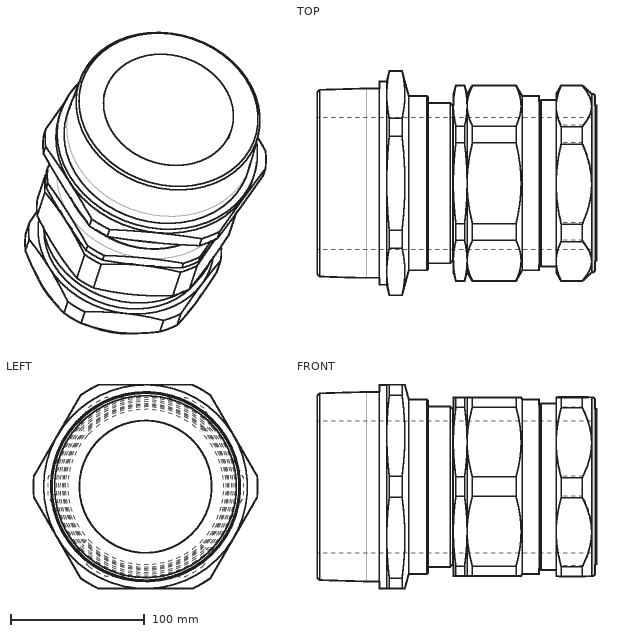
import cadquery as cq


overall_length = 209.0
bore_radius = 49.3

thread_radius = 70.9
taper_small_radius = 69.8
entry_chamfer = 1.9
taper_end_x = 36.5
flange_x = 46.6
flange_radius = 76.1

entry_nut_x = 52.0
entry_nut_end_x = 68.5
entry_nut_flats = 152.5
entry_nut_corner_radius = 83.8
entry_nut_front_chamfer = 1.9
entry_nut_back_chamfer = 5.0

shoulder_radius = 65.2
shoulder_end_x = 83.2
shoulder_chamfer = 1.3
neck_radius = 60.0
neck_end_x = 101.2
neck_chamfer = 1.9
collar_end_x = 165.8
groove_radius = 61.0
rear_neck_x = 166.7
rear_neck_radius = 62.3
rear_neck_chamfer = 0.8

lock_nut_x = 101.8
body_nut_x = 112.0
body_nut_end_x = 153.3
body_nut_flats = 133.5
nut_corner_radius = 73.2
lock_nut_chamfer = 1.9
body_nut_front_chamfer = 4.0
body_nut_back_chamfer = 4.5

cap_nut_x = 178.5
cap_nut_end_x = 205.1
cap_nut_flats = 133.6
cap_nut_turn = 0.6
cap_nut_front_chamfer = 3.8
cap_nut_back_chamfer = 7.0
cap_rim_end_x = 207.6
cap_rim_fillet = 1.9
end_ring_radius = 58.1


def revolve_about_x(profile):
    """Solid of revolution about X from (x, radius) points running along the outside."""
    points = [(profile[0][0], 0)] + profile + [(profile[-1][0], 0)]
    return cq.Workplane("XY").polyline(points).close().revolve(360, (0, 0, 0), (1, 0, 0))


def hex_nut(start_x, end_x, flats, corner_radius, front, back):
    """Hexagonal nut with two flats facing +Z and -Z, turned down to a corner radius with coned ends.

    front and back are (axial length, radius at the end face) of each cone.
    """
    front_length, front_radius = front
    back_length, back_radius = back
    prism = (
        cq.Workplane("YZ", origin=(start_x, 0, 0))
        .polygon(6, flats, circumscribed=True)
        .extrude(end_x - start_x)
        .rotate((0, 0, 0), (1, 0, 0), 90)
    )
    envelope = revolve_about_x([
        (start_x, front_radius),
        (start_x + front_length, corner_radius),
        (end_x - back_length, corner_radius),
        (end_x, back_radius),
    ])
    return prism.intersect(envelope)


body = revolve_about_x([
    (0, taper_small_radius - entry_chamfer),
    (entry_chamfer, taper_small_radius),
    (taper_end_x, thread_radius),
    (flange_x, thread_radius),
    (flange_x, flange_radius),
    (entry_nut_x, flange_radius),
    (entry_nut_x, shoulder_radius),
    (shoulder_end_x - shoulder_chamfer, shoulder_radius),
    (shoulder_end_x, shoulder_radius - shoulder_chamfer),
    (shoulder_end_x, neck_radius),
    (neck_end_x - neck_chamfer, neck_radius),
    (neck_end_x, neck_radius - neck_chamfer),
    (body_nut_x, neck_radius - neck_chamfer),
    (body_nut_x, shoulder_radius),
    (collar_end_x, shoulder_radius),
    (collar_end_x, groove_radius),
    (rear_neck_x, groove_radius),
    (rear_neck_x, rear_neck_radius - rear_neck_chamfer),
    (rear_neck_x + rear_neck_chamfer, rear_neck_radius),
    (cap_nut_end_x, rear_neck_radius),
    (cap_nut_end_x, end_ring_radius),
    (overall_length, end_ring_radius),
])

entry_nut = hex_nut(
    entry_nut_x, entry_nut_end_x, entry_nut_flats, entry_nut_corner_radius,
    front=(entry_nut_front_chamfer, flange_radius),
    back=(entry_nut_back_chamfer, shoulder_radius),
)
lock_nut = hex_nut(
    lock_nut_x, body_nut_x, body_nut_flats, nut_corner_radius,
    front=(lock_nut_chamfer, body_nut_flats / 2),
    back=(lock_nut_chamfer, body_nut_flats / 2),
)
body_nut = hex_nut(
    body_nut_x, body_nut_end_x, body_nut_flats, nut_corner_radius,
    front=(body_nut_front_chamfer, body_nut_flats / 2),
    back=(body_nut_back_chamfer, shoulder_radius),
)
cap_nut = hex_nut(
    cap_nut_x, cap_nut_end_x, cap_nut_flats, nut_corner_radius,
    front=(cap_nut_front_chamfer, cap_nut_flats / 2),
    back=(cap_nut_back_chamfer, cap_nut_flats / 2),
).rotate((0, 0, 0), (1, 0, 0), cap_nut_turn)

cap_rim = (
    cq.Workplane("YZ", origin=(cap_nut_end_x, 0, 0))
    .circle(cap_nut_flats / 2)
    .extrude(cap_rim_end_x - cap_nut_end_x)
    .faces(">X")
    .edges()
    .fillet(cap_rim_fillet)
)

bore = cq.Workplane("YZ").circle(bore_radius).extrude(overall_length)

result = body
for section in (entry_nut, lock_nut, body_nut, cap_nut, cap_rim):
    result = result.union(section)
result = result.cut(bore)